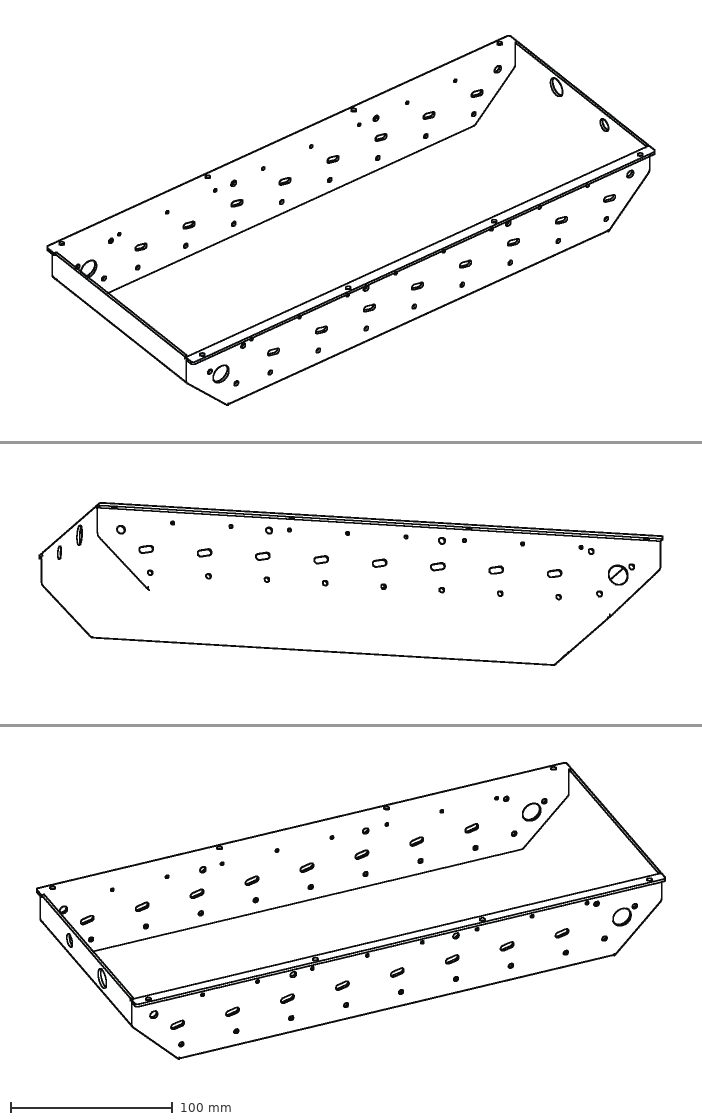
import cadquery as cq
import math

length = 360.0
overall_width = 150.0
height = 52.0
sheet = 1.8

flange_overhang = 6.5
body_width = overall_width - 2 * flange_overhang
inner_width = body_width - 2 * sheet
end_height = 19.5
end_slope = math.radians(45)
floor_length = length - 2 * (height - end_height) / math.tan(end_slope)
outer_bend_radius = 4.0
inner_bend_radius = outer_bend_radius - sheet
flange_corner_radius = 1.8
fold_arc_offset = sheet * math.sqrt(0.5)

flange_hole_diameter = 3.2
flange_hole_inset = 3.2
flange_hole_pitch = 113.5
flange_hole_rows = 4

row_count = 8
row_pitch = 37.3
upper_row_start = -129.2
upper_row_z = 43.2
upper_row_diameter = 2.1
lower_row_start = -115.0
lower_row_z = 10.8
lower_row_diameter = 3.1
slot_row_start = -112.5
slot_row_z = 25.5
slot_length = 9.0
slot_width = 4.0
slot_tilt = 12.0

single_side_holes = [
    (5.0, 165.0, 37.0),
    (4.0, 70.2, 42.0),
    (4.0, -40.5, 42.0),
    (3.3, -135.7, 41.0),
    (3.3, -161.5, 32.8),
    (3.3, -141.0, 14.5),
    (12.2, -153.0, 27.0),
]

end_holes = [(12.2, -24.5), (8.3, 24.5)]
end_hole_z = height - 9.5


def tray_prism(width, inset, bend_radius):
    """Tray side profile, moved inward by inset, extruded across X with rounded bends."""
    half_end = length / 2 - inset
    half_floor = floor_length / 2 - inset * math.tan(end_slope / 2)
    knee_z = height - end_height + inset * math.tan((math.pi / 2 - end_slope) / 2)
    outline = [
        (-half_end, height),
        (-half_end, knee_z),
        (-half_floor, inset),
        (half_floor, inset),
        (half_end, knee_z),
        (half_end, height),
    ]
    prism = cq.Workplane("YZ").polyline(outline).close().extrude(width / 2, both=True)
    return prism.edges("|X").edges("not >Z").fillet(bend_radius)


def y_axis_bar(profile, bar_length):
    """Extrude an X-Z profile along Y, centred on Y = 0."""
    return profile.extrude(bar_length / 2, both=True)


def flange_bend(side):
    """Flange on one side, with the rounded fold that joins it to the wall."""
    inner_x = side * inner_width / 2
    wall_x = side * body_width / 2
    edge_x = side * overall_width / 2
    underside = height - sheet
    fold_middle = (wall_x - side * fold_arc_offset, underside + fold_arc_offset)
    profile = (
        cq.Workplane("XZ")
        .moveTo(inner_x, underside)
        .threePointArc(fold_middle, (wall_x, height))
        .lineTo(edge_x, height)
        .lineTo(edge_x, underside)
        .close()
    )
    bar = y_axis_bar(profile, length)
    outer_edge = ">X" if side > 0 else "<X"
    return bar.edges("|Z").edges(outer_edge).fillet(flange_corner_radius)


def wall_top_clearance(side):
    """Sharp top edge of one wall, which the flange fold replaces."""
    center_x = side * (inner_width + sheet) / 2
    profile = cq.Workplane("XZ").center(center_x, height - sheet / 2).rect(sheet, sheet)
    return y_axis_bar(profile, length)


def floor_edge_waste(side):
    """Material outside the rounded fold between the floor and one wall."""
    wall_x = side * body_width / 2
    fold_x = side * inner_width / 2
    profile = (
        cq.Workplane("XZ")
        .moveTo(wall_x, 0)
        .lineTo(wall_x, sheet)
        .threePointArc((fold_x + side * fold_arc_offset, sheet - fold_arc_offset), (fold_x, 0))
        .close()
    )
    return y_axis_bar(profile, floor_length)


def row_points(start, z):
    """Positions of one row of wall features."""
    return [(start + i * row_pitch, z) for i in range(row_count)]


def across_walls(points):
    """Sketch positions on the Y-Z plane, for cuts through both side walls."""
    return cq.Workplane("YZ").pushPoints(points)


def cut_through_walls(part, sketch):
    """Remove the sketched outlines from both side walls."""
    return part.cut(sketch.extrude(body_width, both=True))


result = tray_prism(body_width, 0, outer_bend_radius)
result = result.cut(tray_prism(inner_width, sheet, inner_bend_radius))
for side in (-1, 1):
    result = result.cut(floor_edge_waste(side))
    result = result.cut(wall_top_clearance(side)).union(flange_bend(side))

flange_hole_spacing = overall_width - 2 * flange_hole_inset
flange_holes = (
    cq.Workplane("XY")
    .workplane(offset=height)
    .rarray(flange_hole_spacing, flange_hole_pitch, 2, flange_hole_rows)
    .circle(flange_hole_diameter / 2)
    .extrude(-2 * sheet)
)
result = result.cut(flange_holes)

for diameter, start, z in (
    (upper_row_diameter, upper_row_start, upper_row_z),
    (lower_row_diameter, lower_row_start, lower_row_z),
):
    result = cut_through_walls(result, across_walls(row_points(start, z)).circle(diameter / 2))
slots = across_walls(row_points(slot_row_start, slot_row_z)).slot2D(slot_length, slot_width, -slot_tilt)
result = cut_through_walls(result, slots)
for diameter, y, z in single_side_holes:
    result = cut_through_walls(result, across_walls([(y, z)]).circle(diameter / 2))

for diameter, x in end_holes:
    drill = cq.Workplane("XZ", origin=(x, length / 2, end_hole_z)).circle(diameter / 2)
    result = result.cut(drill.extrude(2 * sheet))